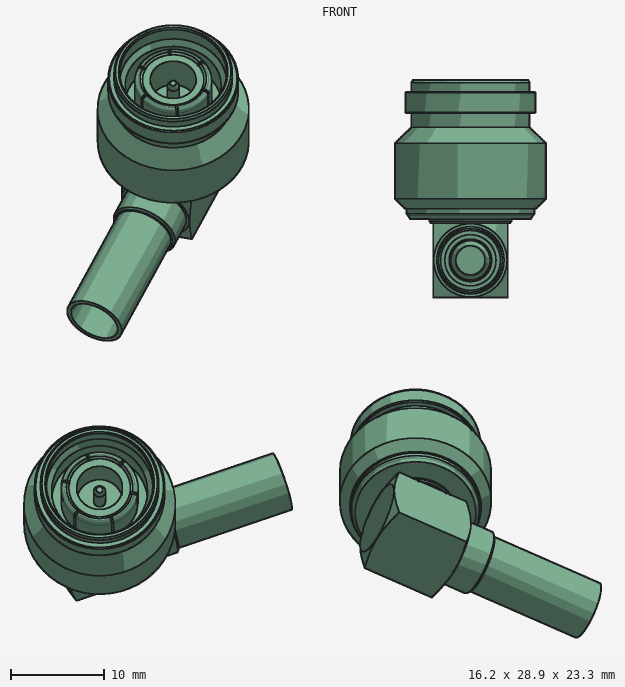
import cadquery as cq
import math


block_width = 8.0
block_length = 9.3
block_face_radius = 3.92
block_end_angle = 19.0

cable_end = 20.75
ferrule_radius = 3.6
ferrule_end = 7.8
ferrule_chamfer = 0.2
tube_radius = 3.2
tube_bore_radius = 2.75
post_end = 15.87
post_radius = 2.28
post_shoulder_radius = 2.1
post_tip_radius = 1.67
post_face_radius = 1.55
post_tip_length = 1.15
post_edge = 0.15

nut_top = 19.3
neck_radius = 6.35
neck_chamfer = 0.17
neck_chamfer_height = 0.3
band_radius = 6.98
band_depth = 1.25
band_height = 2.35
band_chamfer = 0.15
neck_depth = 5.08
body_radius = 8.1
body_depth = 6.78
body_height = 5.95
body_foot_radius = 7.05
body_foot_height = 1.05
collar_radius = 6.87
collar_height = 0.55
collar_chamfer = 0.15
collar_chamfer_height = 0.17
collar_foot_radius = 6.45
collar_foot_height = 0.4

flange_radius = 4.4
flange_chamfer = 0.17

mouth_radius = 5.85
socket_radius = 5.7
mouth_chamfer = 0.17
socket_depth = 1.9
groove_radius = 5.14
groove_depth = 5.77

finger_count = 6
finger_depth = 1.27
finger_outer_radius = 4.13
finger_top_radius = 3.75
finger_lip_radius = 3.55
finger_round_height = 0.55
finger_slot_width = 0.23

insulator_radius = 3.3
insulator_depth = 1.45
insulator_bore_radius = 2.45
pin_radius = 0.63
pin_tip_radius = 0.35
pin_depth = 2.05
pin_taper_height = 0.58

block_top = block_width / 2
groove_floor = nut_top - groove_depth


def revolve_about_z(profile):
    """Turn a closed (radius, z) profile about the mating axis."""
    return cq.Workplane("XZ").polyline(profile).close().revolve(360, (0, 0), (0, 1))


def revolve_about_cable(profile):
    """Turn a closed (radius, distance towards -Y) profile about the cable axis."""
    points = [(radius, -distance) for radius, distance in profile]
    return cq.Workplane("XY").polyline(points).close().revolve(360, (0, 0), (0, 1))


def elbow_block():
    """Square block whose two Y ends are turned to a shallow cone."""
    half_length = block_length / 2
    corner_radius = block_width
    end_drop = (corner_radius - block_face_radius) * math.tan(math.radians(block_end_angle))
    envelope = revolve_about_cable([
        (0, -half_length),
        (block_face_radius, -half_length),
        (corner_radius, end_drop - half_length),
        (corner_radius, half_length - end_drop),
        (block_face_radius, half_length),
        (0, half_length),
    ])
    return cq.Workplane("XY").box(block_width, block_length, block_width).intersect(envelope)


def cable_ferrule():
    """Stepped ferrule, open crimp tube and the post standing inside the tube."""
    return revolve_about_cable([
        (0, 0),
        (ferrule_radius, 0),
        (ferrule_radius, ferrule_end - ferrule_chamfer),
        (ferrule_radius - ferrule_chamfer, ferrule_end),
        (tube_radius, ferrule_end),
        (tube_radius, cable_end),
        (tube_bore_radius, cable_end),
        (tube_bore_radius, ferrule_end),
        (post_radius, ferrule_end),
        (post_radius, post_end - post_tip_length - post_edge),
        (post_shoulder_radius, post_end - post_tip_length),
        (post_tip_radius, post_end - post_edge),
        (post_face_radius, post_end),
        (0, post_end),
    ])


def coupling_nut():
    """Nut body with its flange and the socket, filled up to the groove floor."""
    band_top = nut_top - band_depth
    band_bottom = band_top - band_height
    body_top = nut_top - body_depth
    body_bottom = body_top - body_height
    foot = body_bottom - body_foot_height
    collar_bottom = foot - collar_height
    collar_foot = collar_bottom - collar_chamfer_height
    nut_bottom = collar_foot - collar_foot_height
    return revolve_about_z([
        (0, block_top),
        (flange_radius - flange_chamfer, block_top),
        (flange_radius, block_top + flange_chamfer),
        (flange_radius, nut_bottom),
        (collar_foot_radius, nut_bottom),
        (collar_radius - collar_chamfer, collar_foot),
        (collar_radius, collar_bottom),
        (collar_radius, foot),
        (body_foot_radius, foot),
        (body_radius, body_bottom),
        (body_radius, body_top),
        (neck_radius, nut_top - neck_depth),
        (neck_radius, band_bottom),
        (band_radius - band_chamfer, band_bottom),
        (band_radius, band_bottom + band_chamfer),
        (band_radius, band_top - band_chamfer),
        (band_radius - band_chamfer, band_top),
        (neck_radius, band_top),
        (neck_radius, nut_top - neck_chamfer_height),
        (neck_radius - neck_chamfer, nut_top),
        (mouth_radius, nut_top),
        (socket_radius, nut_top - mouth_chamfer),
        (socket_radius, nut_top - socket_depth),
        (groove_radius, nut_top - socket_depth - (socket_radius - groove_radius)),
        (groove_radius, groove_floor),
        (0, groove_floor),
    ])


def spring_fingers():
    """Ring with a rounded outer lip, split into equal fingers by radial slots."""
    top = nut_top - finger_depth
    round_start = top - finger_round_height
    round_rise = math.sin(math.pi / 4)
    round_middle = (
        finger_top_radius + (finger_outer_radius - finger_top_radius) * round_rise,
        round_start + finger_round_height * round_rise,
    )
    ring = (
        cq.Workplane("XZ")
        .moveTo(insulator_radius, groove_floor)
        .lineTo(finger_outer_radius, groove_floor)
        .lineTo(finger_outer_radius, round_start)
        .threePointArc(round_middle, (finger_top_radius, top))
        .lineTo(finger_lip_radius, top)
        .lineTo(insulator_radius, nut_top - insulator_depth)
        .close()
        .revolve(360, (0, 0), (0, 1))
    )
    slot = cq.Workplane("XY").box(
        finger_outer_radius, finger_slot_width, groove_depth, centered=(False, True, False)
    ).translate((0, 0, groove_floor))
    for index in range(finger_count):
        ring = ring.cut(slot.rotate((0, 0, 0), (0, 0, 1), index * 360 / finger_count))
    return ring


def insulator_and_pin():
    """Insulator sleeve with the centre pin standing in its bore."""
    insulator_top = nut_top - insulator_depth
    pin_top = nut_top - pin_depth
    insulator = revolve_about_z([
        (insulator_bore_radius, groove_floor),
        (insulator_radius, groove_floor),
        (insulator_radius, insulator_top),
        (insulator_bore_radius, insulator_top),
    ])
    pin = revolve_about_z([
        (0, groove_floor),
        (pin_radius, groove_floor),
        (pin_radius, pin_top - pin_taper_height),
        (pin_tip_radius, pin_top),
        (0, pin_top),
    ])
    return insulator.union(pin)


result = (
    elbow_block()
    .union(cable_ferrule())
    .union(coupling_nut())
    .union(spring_fingers())
    .union(insulator_and_pin())
)